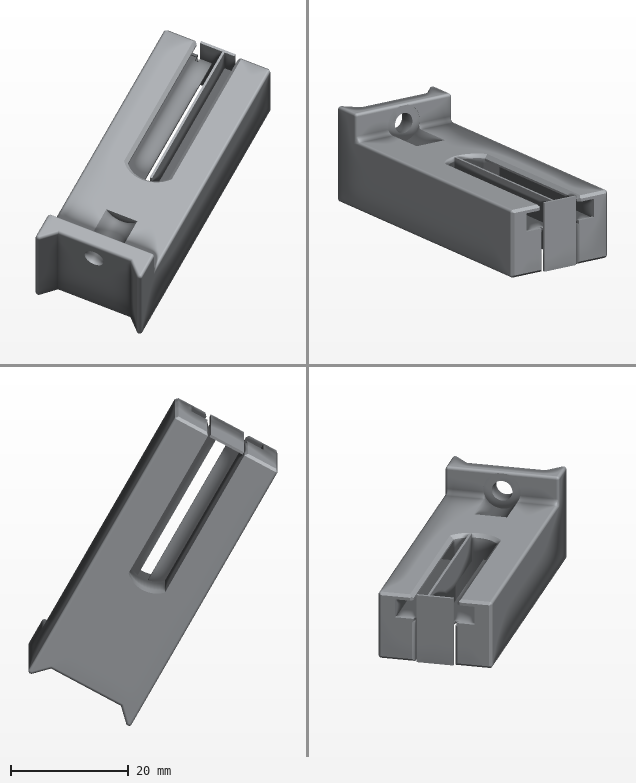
import cadquery as cq
import math

LENGTH = 52.05
WIDTH = 20.0
LUG_HEIGHT = 17.0
DECK_HEIGHT = 12.15
LUG_REAR_Y = -20.45
EDGE_ROUND = 0.5
REAR_CHAMFER = 0.45
CORNER_ROUND = 0.9
NEAR = 0.05
HALF_WIDTH = WIDTH / 2
FRONT_Y = -LENGTH / 2
REAR_Y = LENGTH / 2

RECESS_DEPTH = 2.5

SCREW_Z = 13.6
SCREW_DIAMETER = 3.6
HEAD_DIAMETER = 6.5
HEAD_END_Y = -12.5
HEAD_SEAT_Y = -20.5

MOUTH_HALF_WIDTH = 3.85
MOUTH_CHAMFER = 0.6
SLOT_END_Y = -3.7
SLOT_END_RADIUS = 5.0
LIP_THICKNESS = 1.0
CHANNEL_HALF_WIDTH = 7.0
CHANNEL_END_Y = -2.1
LOWER_HALF_WIDTH = 3.55
LEDGE_Z = 7.25

SHEET_THICKNESS = 0.4
SHEET_GAP_HALF_WIDTH = 1.0
NOTCH_END_Y = 24.8
PLATE_HALF_WIDTH = 3.25
PLATE_THICKNESS = 0.45
PLATE_TOP_Z = 12.3
WEB_THICKNESS = 0.4
WEB_END_Y = -3.45
RIM_RISE = 0.2
PLATE_FRONT_Y = REAR_Y - PLATE_THICKNESS


def near(value):
    """Narrow range about a value, used to pick out edges."""
    return (value - NEAR, value + NEAR)


def box(x_range, y_range, z_range):
    """Box between two limits on each axis."""
    size = [high - low for low, high in (x_range, y_range, z_range)]
    return cq.Workplane("XY").box(*size, centered=False).translate((x_range[0], y_range[0], z_range[0]))


def slot_outline(half_width, z, grow=0.0):
    """Slot outline open to the rear, with an arc as its front end, widened all round by grow."""
    half_width += grow
    radius = SLOT_END_RADIUS + grow
    end_y = SLOT_END_Y - grow
    rear_y = REAR_Y + grow
    corner_y = end_y + radius - math.sqrt(radius**2 - half_width**2)
    return (
        cq.Workplane("XY", origin=(0, 0, z))
        .moveTo(half_width, rear_y)
        .lineTo(half_width, corner_y)
        .threePointArc((0, end_y), (-half_width, corner_y))
        .lineTo(-half_width, rear_y)
        .close()
    )


def channel_box(bottom_z, top_z):
    """Layer of the wide channel between two heights."""
    return box((-CHANNEL_HALF_WIDTH, CHANNEL_HALF_WIDTH), (CHANNEL_END_Y, REAR_Y), (bottom_z, top_z))


def around(x_range, y_range, z_range):
    """Selector of the edges whose centre lies between two limits on each axis."""
    return cq.selectors.BoxSelector(*zip(x_range, y_range, z_range))


def make_blank():
    """Block with a raised front lug, a recessed front face and rounded edges, its rear edges still sharp."""
    recess_y = FRONT_Y + RECESS_DEPTH
    tip_y = FRONT_Y - EDGE_ROUND * (math.tan(math.radians(67.5)) - 1)
    recess_half_width = HALF_WIDTH - (recess_y - tip_y)
    blank = (
        cq.Workplane("XY")
        .polyline([
            (-HALF_WIDTH, REAR_Y), (HALF_WIDTH, REAR_Y), (HALF_WIDTH, tip_y),
            (recess_half_width, recess_y), (-recess_half_width, recess_y), (-HALF_WIDTH, tip_y),
        ])
        .close()
        .extrude(LUG_HEIGHT)
        .cut(box((-HALF_WIDTH, HALF_WIDTH), (LUG_REAR_Y, REAR_Y), (DECK_HEIGHT, LUG_HEIGHT)))
    )
    across = (-HALF_WIDTH + NEAR, HALF_WIDTH - NEAR)
    recess_corners = around(across, near(recess_y), near(LUG_HEIGHT / 2))
    lug_corner = around(across, near(LUG_REAR_Y), near(DECK_HEIGHT))
    rear_outline = around((-LENGTH, LENGTH), near(REAR_Y), (-LENGTH, LENGTH))
    blank = blank.edges(-(recess_corners + lug_corner + rear_outline)).fillet(EDGE_ROUND)
    return blank.edges(lug_corner).fillet(CORNER_ROUND)


def chamfer_rear(blank):
    """Bevel the whole outline of the rear face."""
    return blank.faces(">Y").edges().chamfer(REAR_CHAMFER)


def cut_screw_hole(body):
    """Screw hole along Y through the lug and the head clearance behind it."""
    axis = cq.Workplane("XZ", origin=(0, HEAD_END_Y, SCREW_Z))
    head = axis.circle(HEAD_DIAMETER / 2).extrude(HEAD_END_Y - HEAD_SEAT_Y)
    shank = axis.circle(SCREW_DIAMETER / 2).extrude(LENGTH)
    return body.cut(head).cut(shank)


def cut_rear_slot(body):
    """Through slot with a chamfered mouth and a wide channel between its lips and its ledges."""
    mouth = slot_outline(MOUTH_HALF_WIDTH, LEDGE_Z).extrude(DECK_HEIGHT - LEDGE_Z)
    lower = slot_outline(LOWER_HALF_WIDTH, 0).extrude(LEDGE_Z)
    flare = slot_outline(MOUTH_HALF_WIDTH, DECK_HEIGHT, MOUTH_CHAMFER).extrude(-MOUTH_CHAMFER, taper=45)
    body = body.cut(mouth).cut(lower).cut(flare)
    for half_width in (MOUTH_HALF_WIDTH, LOWER_HALF_WIDTH):
        for side in (-1, 1):
            wall_end = around(near(side * half_width), near(REAR_Y), (0, DECK_HEIGHT))
            body = body.edges(wall_end).chamfer(REAR_CHAMFER)
    return body.cut(channel_box(LEDGE_Z, DECK_HEIGHT - LIP_THICKNESS))


def make_housing():
    """Finished housing."""
    return cut_rear_slot(cut_screw_hole(chamfer_rear(make_blank())))


def make_sheet():
    """Thin sheet on the +X ledge, notched beside the end plate, with a rim on its rear tab."""
    top_z = LEDGE_Z + SHEET_THICKNESS
    sheet = slot_outline(MOUTH_HALF_WIDTH, LEDGE_Z).extrude(SHEET_THICKNESS).union(channel_box(LEDGE_Z, top_z))
    rim = box((MOUTH_HALF_WIDTH, CHANNEL_HALF_WIDTH), (PLATE_FRONT_Y, REAR_Y), (LEDGE_Z, top_z + RIM_RISE))
    notch = box((PLATE_HALF_WIDTH, MOUTH_HALF_WIDTH), (NOTCH_END_Y, REAR_Y), (LEDGE_Z, top_z))
    plate_room = box((0, PLATE_HALF_WIDTH), (PLATE_FRONT_Y, REAR_Y), (LEDGE_Z, top_z))
    half = box((SHEET_GAP_HALF_WIDTH, HALF_WIDTH), (SLOT_END_Y, REAR_Y), (LEDGE_Z, LUG_HEIGHT))
    return sheet.union(rim).intersect(half).cut(notch).cut(plate_room)


def make_divider():
    """End plate, upright web and the sheet beneath the web, as one piece."""
    plate = box((-PLATE_HALF_WIDTH, PLATE_HALF_WIDTH), (PLATE_FRONT_Y, REAR_Y), (0, PLATE_TOP_Z))
    web = box(
        (SHEET_GAP_HALF_WIDTH, SHEET_GAP_HALF_WIDTH + WEB_THICKNESS),
        (WEB_END_Y, PLATE_FRONT_Y),
        (LEDGE_Z, PLATE_TOP_Z),
    )
    return make_sheet().union(web).union(plate)


housing = make_housing()
divider = make_divider()
side_sheet = make_sheet().mirror("YZ")
result = cq.Compound.makeCompound([housing.val(), divider.val(), side_sheet.val()])